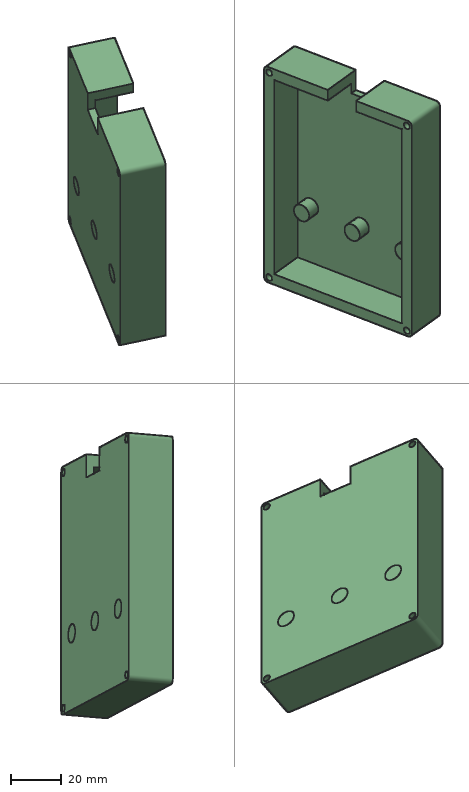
import cadquery as cq

width = 73.0
depth = 19.0
height = 101.0
corner_radius = 2.0
front_thickness = 3.2
wall_thickness = 5.0

screw_diameter = 2.9
screw_inset = 2.5

notch_width = 14.0
notch_depth = 9.5
notch_center_x = -2.0

button_diameter = 7.5
button_length = 9.4
button_spacing = 25.0
button_count = 3
button_z = 31.2

row_length = button_spacing * (button_count - 1)
button_positions = [
    (index * button_spacing - row_length / 2, button_z) for index in range(button_count)
]


def block(size_x, size_y, size_z, center_x, start_y, start_z):
    """Box centred on center_x that grows towards +Y and +Z."""
    box = cq.Workplane("XY").box(size_x, size_y, size_z, centered=(True, False, False))
    return box.translate((center_x, start_y, start_z))


def cylinder_along_y(diameter, length, x, z):
    """Cylinder that starts on the front face and runs towards +Y."""
    return cq.Workplane("XZ").center(x, z).circle(diameter / 2).extrude(-length)


def make_housing():
    shell = block(width, depth, height, 0, 0, 0).edges("|Y").fillet(corner_radius)

    cavity = block(
        width - 2 * wall_thickness,
        depth - front_thickness,
        height - 2 * wall_thickness,
        0,
        front_thickness,
        wall_thickness,
    )
    notch = block(notch_width, depth, notch_depth, notch_center_x, 0, height - notch_depth)
    shell = shell.cut(cavity).cut(notch)

    screw_x = width / 2 - screw_inset
    for x in (-screw_x, screw_x):
        for z in (screw_inset, height - screw_inset):
            shell = shell.cut(cylinder_along_y(screw_diameter, depth, x, z))

    for x, z in button_positions:
        shell = shell.cut(cylinder_along_y(button_diameter, front_thickness, x, z))
    return shell


def make_button(x, z):
    return cylinder_along_y(button_diameter, button_length, x, z)


housing = make_housing()
buttons = [make_button(x, z) for x, z in button_positions]

result = cq.Compound.makeCompound([housing.val(), *[button.val() for button in buttons]])